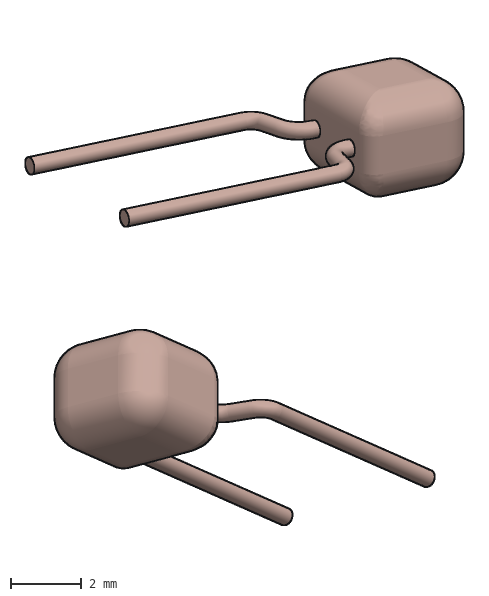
import cadquery as cq
import math

HOUSING_WIDTH = 3.8
HOUSING_DEPTH = 3.61
HOUSING_HEIGHT = 3.15
MAIN_RADIUS = 1.0
FRONT_CORNER_RADIUS = 0.5

OVERALL_LENGTH = 12.08
OVERALL_WIDTH = 5.59
WIRE_DIAMETER = 0.51
ROOT_SPACING = 1.86
BEND_LENGTH = 1.45
BEND_SLOPE = math.radians(13)
ROOT_BEND_RADIUS = 0.72
TIP_BEND_RADIUS = 0.5

LEAD_FACE_Y = -HOUSING_DEPTH / 2
TIP_Y = HOUSING_DEPTH / 2 - OVERALL_LENGTH
TIP_SPACING = OVERALL_WIDTH - WIRE_DIAMETER


def make_housing():
    block = cq.Workplane("XY").box(HOUSING_WIDTH, HOUSING_DEPTH, HOUSING_HEIGHT)
    rounded = block.edges("(|Z and >Y) or (not |Z)").fillet(MAIN_RADIUS)
    return rounded.edges("|Z and <Y").fillet(FRONT_CORNER_RADIUS).solids()


def make_lead(side):
    """Build one lead; side is -1 for the -X lead and +1 for the +X lead."""
    root_x = ROOT_SPACING / 2
    tip_x = TIP_SPACING / 2
    straight_y = LEAD_FACE_Y - BEND_LENGTH
    turn = math.pi / 2 - BEND_SLOPE

    def on_root_bend(angle, start_y):
        return (root_x + ROOT_BEND_RADIUS * (1 - math.cos(angle)),
                start_y - ROOT_BEND_RADIUS * math.sin(angle))

    def on_tip_bend(angle):
        return (tip_x - TIP_BEND_RADIUS * (1 - math.cos(angle)),
                straight_y + TIP_BEND_RADIUS * math.sin(angle))

    slope_end = on_tip_bend(turn)
    slope_start_x = on_root_bend(turn, 0)[0]
    slope_start_y = slope_end[1] + (slope_end[0] - slope_start_x) * math.tan(BEND_SLOPE)
    bend_start_y = slope_start_y + ROOT_BEND_RADIUS * math.sin(turn)

    def mirrored(point):
        return (side * point[0], point[1])

    path = (
        cq.Workplane("XY")
        .moveTo(side * root_x, LEAD_FACE_Y)
        .lineTo(side * root_x, bend_start_y)
        .threePointArc(mirrored(on_root_bend(turn / 2, bend_start_y)),
                       mirrored(on_root_bend(turn, bend_start_y)))
        .lineTo(*mirrored(slope_end))
        .threePointArc(mirrored(on_tip_bend(turn / 2)), mirrored(on_tip_bend(0)))
        .lineTo(side * tip_x, TIP_Y)
    )
    section = cq.Workplane("XZ", origin=(side * root_x, LEAD_FACE_Y, 0)).circle(WIRE_DIAMETER / 2)
    return section.sweep(path)


housing = make_housing()
leads = [make_lead(side) for side in (-1, 1)]

result = cq.Compound.makeCompound([housing.val(), *[lead.val() for lead in leads]])